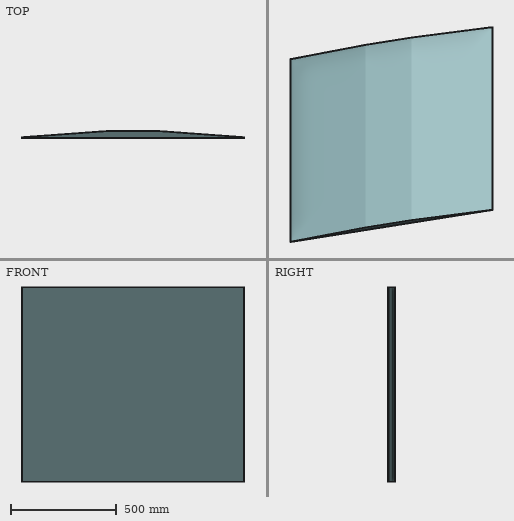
import cadquery as cq

width = 1050.0
depth = 35.0
height = 920.0

edge_thickness = 5.0
flat_width = 238.0

half_width = width / 2
half_flat = flat_width / 2
front_y = -depth / 2
back_y = depth / 2
edge_y = front_y + edge_thickness

outline = [
    (-half_width, front_y),
    (half_width, front_y),
    (half_width, edge_y),
    (half_flat, back_y),
    (-half_flat, back_y),
    (-half_width, edge_y),
]

result = cq.Workplane("XY").polyline(outline).close().extrude(height / 2, both=True)